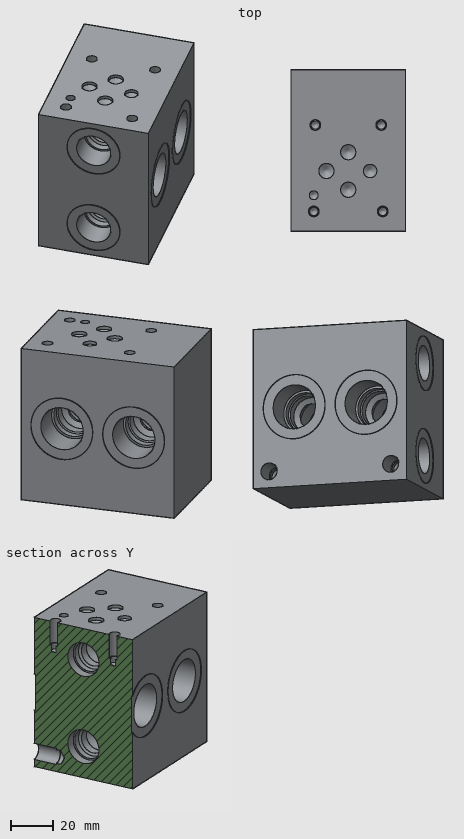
import cadquery as cq
import math

BLOCK_X = 53.95
BLOCK_Y = 76.2
BLOCK_Z = 76.2
MID_X = BLOCK_X / 2
MID_Z = BLOCK_Z / 2

DRILL_POINT_ANGLE = 118
SPOTFACE_DEPTH = 0.45

WORK_PORT_SPACING = 44.35
WORK_SPOTFACE_DIAMETER = 25.9
WORK_THREAD_DIAMETER = 16.8
WORK_THREAD_DEPTH = 12.6
WORK_TAP_DRILL_DIAMETER = 15.1
WORK_TAP_DRILL_DEPTH = 16
WORK_PASSAGE_DIAMETER = 12.7
WORK_PASSAGE_DEPTH = 21.3

PRESSURE_PORT_Y = 20.2
TANK_PORT_Y = 55.9
END_SPOTFACE_DIAMETER = 30.7
END_THREAD_DIAMETER = 21.0
END_THREAD_DEPTH = 16
END_TAP_DRILL_DIAMETER = 18.9
END_TAP_DRILL_DEPTH = 19.8
END_PASSAGE_DIAMETER = 17.45
END_MEETING_DIAMETER = 12.1

MOUNT_EDGE_DISTANCE = 7.85
MOUNT_THREAD_DIAMETER = 8.0
MOUNT_THREAD_DEPTH = 12.2
MOUNT_DRILL_DIAMETER = 6.8
MOUNT_DRILL_DEPTH = 14.5

VALVE_PORT_Y = 28.5
VALVE_PORT_DEPTH = 1.5
CENTRE_PORT_DIAMETER = 7.2
CENTRE_PORT_OFFSET = 8.85
SIDE_PORT_OFFSET = 10.3
LEFT_PORT_DIAMETER = 7.2
RIGHT_PORT_DIAMETER = 6.3
REAR_BOLT_SPACING = 31.0
REAR_BOLT_Y = 50.15
FRONT_BOLT_SPACING = 32.45
FRONT_BOLT_Y = 9.45
BOLT_THREAD_DIAMETER = 5.0
BOLT_THREAD_DEPTH = 12.2
BOLT_DRILL_DIAMETER = 4.0
BOLT_DRILL_DEPTH = 15.25
PIN_HOLE_DIAMETER = 4.2
PIN_HOLE_DEPTH = 4.6
PIN_TO_BOLT = 7.6


def point_length(diameter):
    """Axial length of the conical point of a drill."""
    return diameter / 2 / math.tan(math.radians(DRILL_POINT_ANGLE / 2))


def flat_bore(diameter, depth):
    return cq.Workplane("XY").circle(diameter / 2).extrude(depth)


def drilled_bore(diameter, depth):
    """Bore with a full-diameter depth and a conical bottom."""
    radius = diameter / 2
    tip = depth + point_length(diameter)
    profile = [(0, 0), (radius, 0), (radius, depth), (0, tip)]
    return cq.Workplane("XZ").polyline(profile).close().revolve(360, (0, 0), (0, 1))


def tapped_bore(thread_diameter, thread_depth, drill_diameter, drill_depth):
    return flat_bore(thread_diameter, thread_depth).union(drilled_bore(drill_diameter, drill_depth))


def front_face(x, z):
    return cq.Plane(origin=(x, 0, z), xDir=(1, 0, 0), normal=(0, 1, 0))


def left_face(y, z):
    return cq.Plane(origin=(0, y, z), xDir=(0, 1, 0), normal=(1, 0, 0))


def right_face(y, z):
    return cq.Plane(origin=(BLOCK_X, y, z), xDir=(0, 1, 0), normal=(-1, 0, 0))


def top_face(x, y):
    return cq.Plane(origin=(x, y, BLOCK_Z), xDir=(1, 0, 0), normal=(0, 0, -1))


def sink(body, tool, plane):
    """Cut a bore, modelled along +Z, into the face at the origin of an inward-facing plane."""
    return body.cut(cq.Workplane(obj=tool.val().moved(cq.Location(plane))))


def cut_work_ports(body):
    port = (
        tapped_bore(WORK_THREAD_DIAMETER, WORK_THREAD_DEPTH, WORK_TAP_DRILL_DIAMETER, WORK_TAP_DRILL_DEPTH)
        .union(flat_bore(WORK_SPOTFACE_DIAMETER, SPOTFACE_DEPTH))
        .union(drilled_bore(WORK_PASSAGE_DIAMETER, WORK_PASSAGE_DEPTH))
    )
    for side in (-1, 1):
        body = sink(body, port, front_face(MID_X, MID_Z + side * WORK_PORT_SPACING / 2))
    return body


def cut_end_ports(body):
    passage_depth = MID_X - point_length(END_PASSAGE_DIAMETER) + point_length(END_MEETING_DIAMETER)
    port = (
        tapped_bore(END_THREAD_DIAMETER, END_THREAD_DEPTH, END_TAP_DRILL_DIAMETER, END_TAP_DRILL_DEPTH)
        .union(flat_bore(END_SPOTFACE_DIAMETER, SPOTFACE_DEPTH))
        .union(drilled_bore(END_PASSAGE_DIAMETER, passage_depth))
    )
    for y in (PRESSURE_PORT_Y, TANK_PORT_Y):
        for face in (left_face, right_face):
            body = sink(body, port, face(y, MID_Z))
    return body


def cut_mounting_holes(body):
    hole = tapped_bore(MOUNT_THREAD_DIAMETER, MOUNT_THREAD_DEPTH, MOUNT_DRILL_DIAMETER, MOUNT_DRILL_DEPTH)
    for y in (MOUNT_EDGE_DISTANCE, BLOCK_Y - MOUNT_EDGE_DISTANCE):
        body = sink(body, hole, left_face(y, MOUNT_EDGE_DISTANCE))
    return body


def cut_valve_ports(body):
    ports = [
        (0, CENTRE_PORT_OFFSET, CENTRE_PORT_DIAMETER),
        (0, -CENTRE_PORT_OFFSET, CENTRE_PORT_DIAMETER),
        (-SIDE_PORT_OFFSET, 0, LEFT_PORT_DIAMETER),
        (SIDE_PORT_OFFSET, 0, RIGHT_PORT_DIAMETER),
    ]
    for dx, dy, diameter in ports:
        port = drilled_bore(diameter, VALVE_PORT_DEPTH)
        body = sink(body, port, top_face(MID_X + dx, VALVE_PORT_Y + dy))
    return body


def cut_valve_bolts_and_pin(body):
    bolt = tapped_bore(BOLT_THREAD_DIAMETER, BOLT_THREAD_DEPTH, BOLT_DRILL_DIAMETER, BOLT_DRILL_DEPTH)
    for spacing, y in ((REAR_BOLT_SPACING, REAR_BOLT_Y), (FRONT_BOLT_SPACING, FRONT_BOLT_Y)):
        for side in (-1, 1):
            body = sink(body, bolt, top_face(MID_X + side * spacing / 2, y))
    pin_hole = drilled_bore(PIN_HOLE_DIAMETER, PIN_HOLE_DEPTH)
    pin_x = MID_X - FRONT_BOLT_SPACING / 2
    return sink(body, pin_hole, top_face(pin_x, FRONT_BOLT_Y + PIN_TO_BOLT))


block = cq.Workplane("XY").box(BLOCK_X, BLOCK_Y, BLOCK_Z, centered=False)
block = cut_work_ports(block)
block = cut_end_ports(block)
block = cut_mounting_holes(block)
block = cut_valve_ports(block)
result = cut_valve_bolts_and_pin(block)